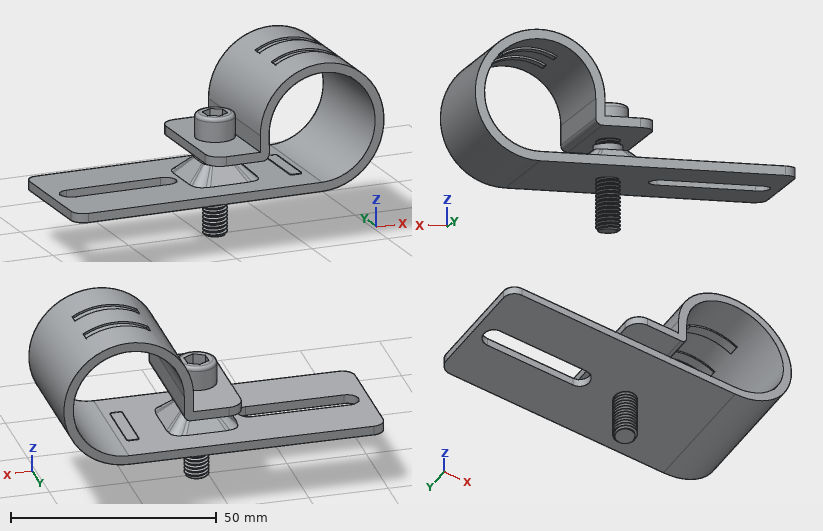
import cadquery as cq
import math

total_length = 81.5
strap_width = 32.0
thickness = 2.4
ring_diameter = 32.75
ring_radius = ring_diameter / 2
bore_radius = ring_radius - thickness
ring_x = total_length - ring_radius
ring_z = ring_radius
wall_x = ring_x - ring_radius
plate_corner_radius = 3.3

lip_end_x = 35.8
lip_bottom = 9.8
lip_top = lip_bottom + thickness
lip_corner_radius = 4.0
lip_bend_radius = 1.7

slot_start_x = 2.7
slot_length = 30.55
slot_width = 5.7

strip_spacing = 10.0
strip_width = 2.5
strip_chord = 16.3
strip_depth = 0.5

pad_x = 61.8
pad_length = 3.1
pad_width = 16.0
pad_height = 0.2
pad_corner_radius = 0.65

boss_side = 17.8
boss_height = 4.15
boss_top_ratio = 0.5
boss_flat = 9.95
boss_corner_start = 12.1
boss_corner_inset = 0.25
boss_corner_bulge = 7.9
collar_diameter = 7.25
collar_height = 1.8

screw_x = 43.6
head_diameter = 9.95
head_height = 6.1
head_edge_radius = 1.0
socket_flats = 5.4
socket_depth = 4.0
thread_diameter = 6.0
core_diameter = 4.9
thread_pitch = 1.0
thread_root_width = 0.9
thread_crest_width = 0.2
thread_overlap = 0.2
screw_tip_z = -12.9
tip_chamfer = 0.5


def make_strap():
    """Bent strip, extruded across its width, with rounded free corners and the slot."""
    profile = (
        cq.Workplane("XZ", origin=(0, strap_width / 2, 0))
        .moveTo(0, 0)
        .lineTo(ring_x, 0)
        .threePointArc((total_length, ring_z), (ring_x, ring_diameter))
        .threePointArc(
            (ring_x - ring_radius * math.sqrt(0.5), ring_z + ring_radius * math.sqrt(0.5)),
            (wall_x, ring_z),
        )
        .lineTo(wall_x, lip_top)
        .lineTo(lip_end_x, lip_top)
        .lineTo(lip_end_x, lip_bottom)
        .lineTo(wall_x + thickness - lip_bend_radius, lip_bottom)
        .radiusArc((wall_x + thickness, lip_bottom + lip_bend_radius), -lip_bend_radius)
        .lineTo(wall_x + thickness, ring_z)
        .threePointArc((ring_x, ring_z + bore_radius), (ring_x + bore_radius, ring_z))
        .threePointArc(
            (ring_x + bore_radius * math.sqrt(0.5), ring_z - bore_radius * math.sqrt(0.5)),
            (ring_x, thickness),
        )
        .lineTo(0, thickness)
        .close()
    )
    strap = profile.extrude(strap_width)

    def corners_at(x):
        margin = 0.1
        return cq.selectors.BoxSelector(
            (x - margin, -strap_width, -margin), (x + margin, strap_width, lip_top + margin)
        )

    strap = strap.edges("|Z").edges(corners_at(0)).fillet(plate_corner_radius)
    strap = strap.edges("|Z").edges(corners_at(lip_end_x)).fillet(lip_corner_radius)
    slot = (
        cq.Workplane("XY")
        .center(slot_start_x + slot_length / 2, 0)
        .slot2D(slot_length, slot_width)
        .extrude(thickness)
    )
    return strap.cut(slot)


def crown_sector(inner_radius, outer_radius, y):
    """Sector of a tube around the ring axis, centred on the crown."""
    half_angle = math.asin(strip_chord / 2 / ring_radius)

    def at(radius, angle):
        return (ring_x + radius * math.sin(angle), ring_z + radius * math.cos(angle))

    return (
        cq.Workplane("XZ", origin=(0, y + strip_width / 2, 0))
        .moveTo(*at(inner_radius, -half_angle))
        .threePointArc(at(inner_radius, 0), at(inner_radius, half_angle))
        .lineTo(*at(outer_radius, half_angle))
        .threePointArc(at(outer_radius, 0), at(outer_radius, -half_angle))
        .close()
        .extrude(strip_width)
    )


def press_strips(strap):
    """Shift two strips of the crown towards the ring axis."""
    for y in (-strip_spacing / 2, strip_spacing / 2):
        strap = strap.cut(crown_sector(ring_radius - strip_depth, ring_radius + strip_depth, y))
        strap = strap.union(crown_sector(bore_radius - strip_depth, ring_radius - strip_depth, y))
    return strap


def make_pad():
    """Thin rounded rectangle standing on the base plate."""
    return (
        cq.Workplane("XY", origin=(pad_x, 0, 0))
        .rect(pad_length, pad_width)
        .extrude(thickness + pad_height)
        .edges("|Z")
        .fillet(pad_corner_radius)
    )


def turned(x, y, degrees):
    """Point (x, y) turned about the origin."""
    angle = math.radians(degrees)
    return (
        x * math.cos(angle) - y * math.sin(angle),
        x * math.sin(angle) + y * math.cos(angle),
    )


def boss_outline(scale, z):
    """Square with a narrow bevel beside each side and an arc at each corner."""
    side = scale * boss_side / 2
    flat = scale * boss_flat / 2
    arc_start = scale * boss_corner_start / 2
    arc_side = side - scale * boss_corner_inset
    bulge = scale * boss_corner_bulge

    outline = cq.Workplane("XY", origin=(screw_x, 0, z)).moveTo(side, -flat)
    for angle in (0, 90, 180, 270):
        outline = (
            outline.lineTo(*turned(side, flat, angle))
            .lineTo(*turned(arc_side, arc_start, angle))
            .threePointArc(turned(bulge, bulge, angle), turned(arc_start, arc_side, angle))
            .lineTo(*turned(flat, side, angle))
        )
    return outline.close().val()


def make_boss():
    """Tapered boss under a round collar."""
    wires = [
        boss_outline(1, thickness),
        boss_outline(boss_top_ratio, thickness + boss_height),
    ]
    boss = cq.Workplane(cq.Solid.makeLoft(wires, True))
    collar = (
        cq.Workplane("XY", origin=(screw_x, 0, thickness))
        .circle(collar_diameter / 2)
        .extrude(boss_height + collar_height)
    )
    return boss.union(collar)


def make_head():
    """Round screw head with a hexagon socket."""
    head = (
        cq.Workplane("XY", origin=(screw_x, 0, lip_top))
        .circle(head_diameter / 2)
        .extrude(head_height)
        .faces(">Z")
        .edges()
        .fillet(head_edge_radius)
    )
    socket = (
        cq.Workplane("XY", origin=(screw_x, 0, lip_top + head_height - socket_depth))
        .polygon(6, socket_flats, circumscribed=True)
        .extrude(socket_depth)
    )
    return head.cut(socket)


def thread_ridge(bottom, top):
    """Right-handed helical ridge around the screw core."""
    root_radius = core_diameter / 2 - thread_overlap
    crest_radius = thread_diameter / 2
    helix = cq.Wire.makeHelix(thread_pitch, top - bottom, root_radius)
    ridge = (
        cq.Workplane("XZ")
        .moveTo(root_radius, -thread_root_width / 2)
        .lineTo(crest_radius, -thread_crest_width / 2)
        .lineTo(crest_radius, thread_crest_width / 2)
        .lineTo(root_radius, thread_root_width / 2)
        .close()
        .sweep(cq.Workplane(helix), isFrenet=True)
    )
    return ridge.translate((screw_x, 0, bottom))


def make_shank():
    """Screw core with thread where it is exposed, trimmed to a chamfered tip."""
    core = (
        cq.Workplane("XY", origin=(screw_x, 0, screw_tip_z))
        .circle(core_diameter / 2)
        .extrude(lip_top - screw_tip_z)
    )
    collar_top = thickness + boss_height + collar_height
    lower_thread = thread_ridge(screw_tip_z, thickness / 2)
    upper_thread = thread_ridge(collar_top - thread_pitch, lip_bottom + thickness / 2)
    envelope = (
        cq.Workplane("XY", origin=(screw_x, 0, screw_tip_z))
        .circle(thread_diameter / 2 + thread_overlap)
        .extrude(lip_top - screw_tip_z)
        .faces("<Z")
        .chamfer(tip_chamfer + thread_overlap)
    )
    return core.union(lower_thread).union(upper_thread).intersect(envelope)


strap = press_strips(make_strap()).union(make_pad())
result = strap.union(make_boss()).union(make_head()).union(make_shank())